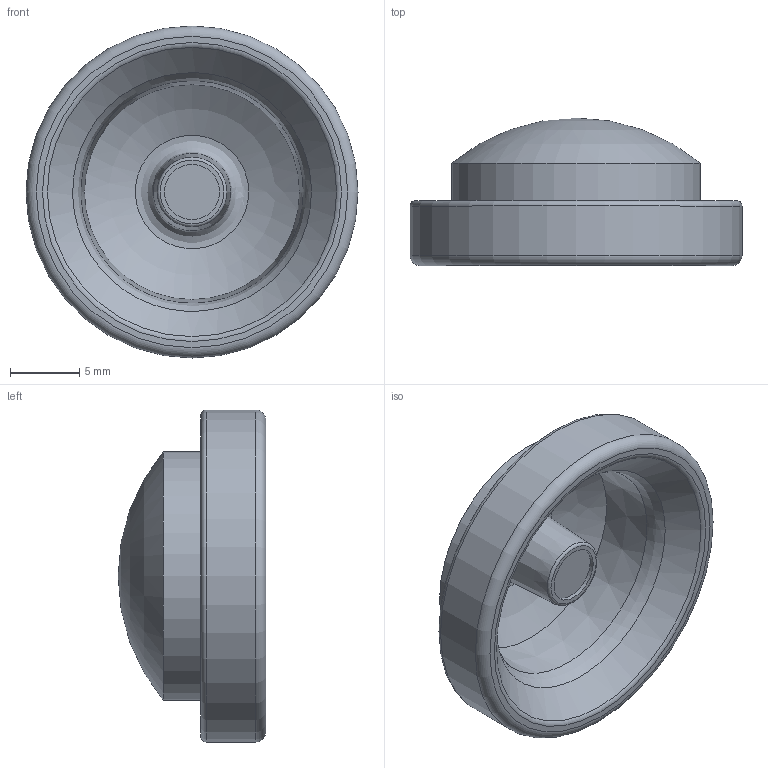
import cadquery as cq
import math


RIM_RADIUS = 12.0
RIM_DEPTH = 4.7
RIM_FRONT_FILLET = 0.75
RIM_BACK_FILLET = 0.4
NECK_RADIUS = 9.0
NECK_END = 7.4
DOME_RADIUS = 14.0

WALL_THICKNESS = 1.0
MOUTH_RADIUS = 10.6
MOUTH_FILLET = 0.5
THROAT_RADIUS = 8.1
THROAT_FILLET = 2.0
WALL_DRAFT = math.radians(4)

POST_END_RADIUS = 2.5
POST_END = 2.7
POST_DRAFT = math.radians(3)
POST_END_FILLET = 0.2
POST_ROOT_FILLET = 1.0
RECESS_RADIUS = 2.0
RECESS_DEPTH = 0.3

EDGE_TOLERANCE = 0.01

dome_center = NECK_END - math.sqrt(DOME_RADIUS**2 - NECK_RADIUS**2)
floor_radius = DOME_RADIUS - WALL_THICKNESS
throat_depth = MOUTH_RADIUS - THROAT_RADIUS


def sphere_depth(sphere_radius, radius):
    """Y of a dome surface at a distance from the axis."""
    return dome_center + math.sqrt(sphere_radius**2 - radius**2)


def dome_midpoint(sphere_radius, inner, outer):
    """Point on a dome surface halfway between two distances from the axis."""
    middle = (inner + outer) / 2
    return (middle, sphere_depth(sphere_radius, middle))


def meet_floor(start_radius, start_depth, slope):
    """Point where a cone, whose radius changes by slope per unit depth, reaches the floor."""
    offset = start_depth - dome_center
    a = 1 + slope**2
    b = 2 * (start_radius * slope + offset)
    c = start_radius**2 + offset**2 - floor_radius**2
    travel = (-b + math.sqrt(b**2 - 4 * a * c)) / (2 * a)
    return (start_radius + slope * travel, start_depth + travel)


wall_foot = meet_floor(THROAT_RADIUS, throat_depth, -math.tan(WALL_DRAFT))
post_foot = meet_floor(POST_END_RADIUS, POST_END, math.tan(POST_DRAFT))


def revolve_about_y(profile):
    return profile.close().revolve(360, (0, 0, 0), (0, 1, 0))


def make_outside():
    profile = (
        cq.Workplane("XY")
        .lineTo(RIM_RADIUS, 0)
        .lineTo(RIM_RADIUS, RIM_DEPTH)
        .lineTo(NECK_RADIUS, RIM_DEPTH)
        .lineTo(NECK_RADIUS, NECK_END)
        .threePointArc(dome_midpoint(DOME_RADIUS, 0, NECK_RADIUS), (0, dome_center + DOME_RADIUS))
    )
    return revolve_about_y(profile)


def make_cavity():
    """Ring-shaped space around the post, open at the front."""
    profile = (
        cq.Workplane("XY")
        .lineTo(MOUTH_RADIUS, 0)
        .lineTo(THROAT_RADIUS, throat_depth)
        .lineTo(*wall_foot)
        .threePointArc(dome_midpoint(floor_radius, post_foot[0], wall_foot[0]), post_foot)
        .lineTo(POST_END_RADIUS, POST_END)
        .lineTo(RECESS_RADIUS, POST_END)
        .lineTo(RECESS_RADIUS, POST_END + RECESS_DEPTH)
        .lineTo(0, POST_END + RECESS_DEPTH)
    )
    return revolve_about_y(profile)


def fillet_circle(body, radius, depth, fillet):
    """Round the circular edge of the given radius at the given depth."""

    def is_wanted(edge):
        radius_error = abs(edge.radius() - radius)
        depth_error = abs(edge.arcCenter().y - depth)
        return max(radius_error, depth_error) < EDGE_TOLERANCE

    ring = body.edges("%CIRCLE").filter(is_wanted)
    return body.newObject(ring.vals()).fillet(fillet)


def round_edges(body):
    body = fillet_circle(body, RIM_RADIUS, 0, RIM_FRONT_FILLET)
    body = fillet_circle(body, RIM_RADIUS, RIM_DEPTH, RIM_BACK_FILLET)
    body = fillet_circle(body, MOUTH_RADIUS, 0, MOUTH_FILLET)
    body = fillet_circle(body, THROAT_RADIUS, throat_depth, THROAT_FILLET)
    body = fillet_circle(body, *post_foot, POST_ROOT_FILLET)
    return fillet_circle(body, POST_END_RADIUS, POST_END, POST_END_FILLET)


result = round_edges(make_outside().cut(make_cavity()))